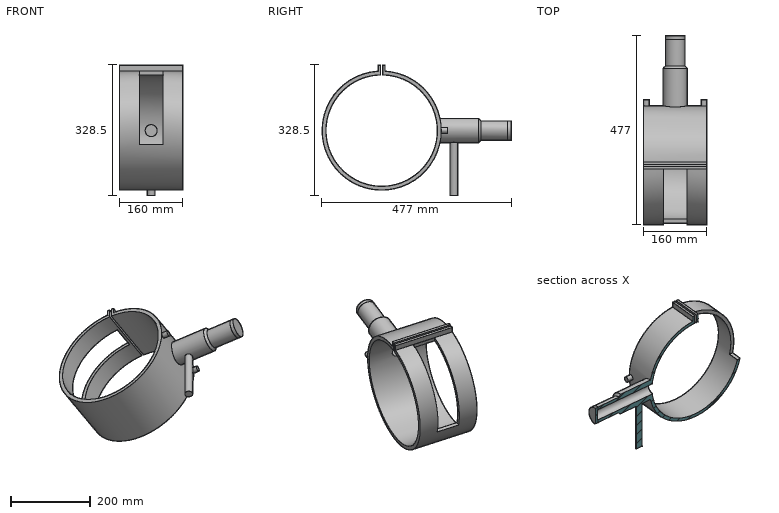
import cadquery as cq


ring_width = 160.0
ring_outer_radius = 150.0
wall = 10.0
ring_inner_radius = ring_outer_radius - wall
total_length = 477.0
total_height = 328.5

lug_top = 165.0
lug_span = 17.5
split_gap = 5.0

window_width = 60.0
window_bottom = -35.0
window_back = -9.5

spigot_radius = 31.0
neck_radius = 25.0
bore_radius = 30.0 / 2
shoulder_end = 250.5
shoulder_chamfer = spigot_radius - neck_radius
spigot_tip = total_length - ring_outer_radius
cap_thickness = 9.0
neck_end = spigot_tip - cap_thickness

stem_radius = 10.0
stem_y = 182.0
stem_bottom = lug_top - total_height
peg_radius = 15.0 / 2
peg_tip = 165.5
peg_x = ring_width / 2 - peg_radius


def rod_along_y(radius, start, end, x=0):
    """Cylinder parallel to Y between two Y positions."""
    axis_start = cq.Vector(x, start, 0)
    return cq.Workplane(cq.Solid.makeCylinder(radius, end - start, axis_start, cq.Vector(0, 1, 0)))


def rod_along_x(radius):
    """Cylinder on the ring axis, as wide as the ring."""
    return cq.Workplane("YZ").circle(radius).extrude(ring_width / 2, both=True)


def make_spigot():
    """Stepped round spigot with a conical shoulder."""
    return (
        cq.Workplane("XY")
        .moveTo(0, 0)
        .lineTo(spigot_radius, 0)
        .lineTo(spigot_radius, shoulder_end - shoulder_chamfer)
        .lineTo(neck_radius, shoulder_end)
        .lineTo(neck_radius, neck_end)
        .lineTo(0, neck_end)
        .close()
        .revolve(360, (0, 0, 0), (0, 1, 0))
    )


def make_window_cutter():
    """Block that opens the front wall from the front lug down to the sill."""
    depth = ring_outer_radius + window_back
    height = ring_outer_radius - window_bottom
    return (
        cq.Workplane("XY")
        .box(window_width, depth, height, centered=(True, False, False))
        .translate((0, -ring_outer_radius, window_bottom))
    )


def make_clamp():
    """Ring with lugs, spigot, stem and pegs in one piece."""
    lugs = cq.Workplane("XY").box(ring_width, lug_span, lug_top, centered=(True, True, False))
    stem = (
        cq.Workplane("XY", origin=(0, stem_y, stem_bottom))
        .circle(stem_radius)
        .extrude(-stem_bottom)
    )
    clamp = rod_along_x(ring_outer_radius).union(lugs).union(make_spigot()).union(stem)
    for side in (-1, 1):
        clamp = clamp.union(rod_along_y(peg_radius, 0, peg_tip, side * peg_x))

    split = cq.Workplane("XY").box(ring_width, split_gap, lug_top, centered=(True, True, False))
    return (
        clamp.cut(rod_along_x(ring_inner_radius))
        .cut(split)
        .cut(make_window_cutter())
        .cut(rod_along_y(bore_radius, 0, neck_end))
    )


def make_cap():
    """Disc closing the end of the bored spigot."""
    return rod_along_y(neck_radius, neck_end, spigot_tip)


clamp = make_clamp()
cap = make_cap()
result = cq.Compound.makeCompound([clamp.solids().val(), cap.val()])